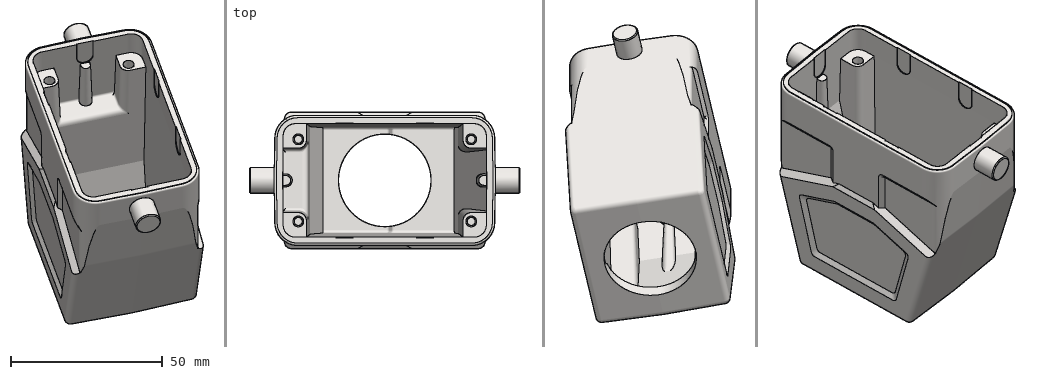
import cadquery as cq
import math

HEIGHT = 72.0
RIM_LENGTH = 73.0
RIM_WIDTH = 42.9
RIM_CORNER = 7.6
RIM_ROUND = 0.6
LIP_HEIGHT = 0.3
LIP_INSET = 0.8
LOWER_WIDTH = 45.0
LOWER_ROUND = 2.0
BASE_ROUND = 2.0
BASE_HALF = 24.0
WAIST_HALF = 34.5
WAIST_Z = 40.0
WAIST_ROUND = 4.45
SLOPE_TOP_Z = 60.8
RIDGE_DRAFT = 1.0
CORE_FLOOR = 34.7

CREST_FLAT_HALF = 9.0
CREST_Z = 42.9
CREST_ANGLE = 20.0
CREST_FLAT_BEVEL = 3.2
CREST_SLOPE_BEVEL = 1.8

RECESS_DEPTH = 1.2
RECESS_BEVEL = 1.8
WINDOW_INNER_X = 11.6
WINDOW_TOP_Z = 57.1
WINDOW_EDGE_ROUND = 2.2
WINDOW_EDGE_Z = 46.3
PANEL_TOP_HALF = 8.3
PANEL_SIDE_HALF = 23.7
PANEL_BASE_HALF = 18.0
PANEL_TOP_Z = 36.85
PANEL_BASE_Z = 7.65
PANEL_CORNER = 3.1

PEG_RADIUS = 4.3
PEG_Z = 65.9
PEG_END = 44.5
PEG_ROOT = 34.7
PEG_CHAMFER = 0.4

MOUTH_LENGTH = 66.9
MOUTH_WIDTH = 37.4
MOUTH_CORNER = 4.0
MOUTH_Z = 62.8
DRAFT = 1.7
SIDE_DRAFT = 1.3
WELL_HALF = 25.8
BAY_HALF = 10.6
POST_ROUND = 2.7
FLOOR_Z = 2.7
FLOOR_STEP = 1.8
STEP_START = 1.25
STEP_END = 2.7
FLOOR_ROUND = 0.9
LEFT_FLOOR_X = -20.3
RIGHT_FLOOR_X = 22.9
LEDGE_Z = 44.5
LEDGE_ROUND = 2.05
LEDGE_FOOT_ROUND = 0.9

SCREW_X = 28.5
SCREW_Y = 13.5
SCREW_RADIUS = 1.8
SCREW_DEPTH = 13.35
SCREW_TAPER = 2.0
PIN_X = 32.6
PIN_TOP_Z = 62.2
PIN_RADIUS = 1.6
SLOT_X = 13.3
SLOT_WIDTH = 5.6
SLOT_DEPTH = 0.3
SLOT_BOTTOM_Z = 62.4
CABLE_RADIUS = 15.2

MARGIN = 8.9
SIDE_LEAN = (WAIST_HALF - BASE_HALF) / WAIST_Z
UPPER_LEAN = (RIM_LENGTH / 2 - WAIST_HALF) / (SLOPE_TOP_Z - WAIST_Z)
DRAFT_LEAN = math.tan(math.radians(DRAFT))
SIDE_DRAFT_LEAN = math.tan(math.radians(SIDE_DRAFT))
RIDGE_LEAN = math.tan(math.radians(RIDGE_DRAFT))
BEVEL_TAPER = math.degrees(math.atan(RECESS_BEVEL / RECESS_DEPTH))
RIGHT_FLOOR_Z = FLOOR_Z + FLOOR_STEP


def both_sides(shape, plane):
    return shape.union(shape.mirror(plane))


def box_around(centre, reach):
    """Selector for whatever has its middle within reach of a point along each axis."""
    lower = tuple(c - d for c, d in zip(centre, reach))
    upper = tuple(c + d for c, d in zip(centre, reach))
    return cq.selectors.BoxSelector(lower, upper)


def mirrored(right_points):
    """Close a right-hand chain of points with its mirror image about x = 0."""
    return right_points + [(-x, z) for x, z in reversed(right_points)]


def silhouette(half_width):
    """Outline of the hood along Y, with ends and base peaked slightly at Y = 0."""
    top = HEIGHT + MARGIN
    outline = mirrored([
        (BASE_HALF, 0),
        (WAIST_HALF, WAIST_Z),
        (WAIST_HALF + UPPER_LEAN * (top - WAIST_Z), top),
    ])
    half = cq.Workplane("XZ").polyline(outline).close().extrude(half_width, taper=RIDGE_DRAFT)
    waist = box_around((0, 0, WAIST_Z), (RIM_LENGTH, RIM_LENGTH, 0.9))
    half = half.edges(waist).fillet(WAIST_ROUND)
    base_ends = box_around((0, -half_width / 2, 0), (RIM_LENGTH, 0.9, 0.9))
    half = half.edges(base_ends).fillet(BASE_ROUND)
    return both_sides(half, "XZ")


def crest_outline(y, flat_rise, slope_rise):
    """Closed outline under the gable crest, at the given distance outward in -Y."""
    lean = math.radians(CREST_ANGLE)
    flat_z = CREST_Z + flat_rise
    slope_z = CREST_Z + CREST_FLAT_HALF * math.tan(lean) + slope_rise / math.cos(lean)
    corner_x = (slope_z - flat_z) / math.tan(lean)
    end_x = RIM_LENGTH / 2 + MARGIN
    points = mirrored([
        (end_x, -MARGIN),
        (end_x, slope_z - end_x * math.tan(lean)),
        (corner_x, flat_z),
    ])
    return cq.Wire.makePolygon([cq.Vector(x, -y, z) for x, z in points], close=True)


def lower_shell():
    """Lower body with rounded edges, cut off above by the bevelled crest."""
    outer_y = LOWER_WIDTH / 2
    inner_y = RIM_WIDTH / 2 - RECESS_DEPTH
    body = silhouette(outer_y)
    body = body.faces("<Y or >Y").edges("not >Z").fillet(LOWER_ROUND)
    crest_foot = crest_outline(inner_y, CREST_FLAT_BEVEL, CREST_SLOPE_BEVEL)
    front = cq.Solid.makeLoft([crest_foot, crest_outline(outer_y, 0, 0)], True)
    middle = cq.Solid.extrudeLinear(crest_foot, [], cq.Vector(0, inner_y, 0))
    clip = cq.Workplane(front).union(cq.Workplane(middle))
    return body.intersect(both_sides(clip, "XZ"))


def window(side):
    """Bevelled recess beside the middle of the upper shell, on both long faces."""
    outer_x = RIM_LENGTH / 2 + MARGIN
    base_z = CORE_FLOOR - MARGIN
    outline = [
        (side * WINDOW_INNER_X, base_z),
        (side * outer_x, base_z),
        (side * outer_x, WINDOW_TOP_Z),
        (side * WINDOW_INNER_X, WINDOW_TOP_Z),
    ]
    plane = cq.Workplane("XZ", origin=(0, RECESS_DEPTH - RIM_WIDTH / 2, 0))
    cutter = plane.polyline(outline).close().extrude(RECESS_DEPTH, taper=-BEVEL_TAPER)
    return both_sides(cutter, "XZ")


def rim_prism(inset, base_z, top_z):
    """Upright rounded block with the rim's plan, its ends peaked slightly at Y = 0."""
    half_length = RIM_LENGTH / 2 - inset
    half_width = RIM_WIDTH / 2 - inset
    corner_x = half_length - half_width * RIDGE_LEAN
    plan = mirrored([(corner_x, -half_width), (half_length, 0), (corner_x, half_width)])
    block = cq.Workplane("XY", origin=(0, 0, base_z)).polyline(plan).close()
    block = block.extrude(top_z - base_z)
    return block.edges("|Z").edges("<Y or >Y").fillet(RIM_CORNER - inset)


def upper_shell():
    """Upper body with its lip, the four windows and the leaning ends."""
    shoulder_z = HEIGHT - LIP_HEIGHT
    core = rim_prism(0, CORE_FLOOR, shoulder_z)
    core = core.faces(">Z").edges().fillet(RIM_ROUND)
    core = core.union(rim_prism(LIP_INSET, shoulder_z - RIM_ROUND, HEIGHT))
    edge_x = RIM_LENGTH / 2 - RIM_CORNER / 2
    edge_y = RIM_WIDTH / 2 - RECESS_DEPTH
    for side in (-1, 1):
        core = core.cut(window(side))
        for face in (-1, 1):
            outer_edge = box_around((side * edge_x, face * edge_y, WINDOW_EDGE_Z), (0.9, 0.2, 4.45))
            core = core.edges(outer_edge).fillet(WINDOW_EDGE_ROUND)
    return core.intersect(silhouette(LOWER_WIDTH / 2))


def panel_recess():
    """Five-sided bevelled recess in both long faces of the lower shell."""
    lean = math.tan(math.radians(CREST_ANGLE))
    outline = mirrored([
        (PANEL_BASE_HALF, PANEL_BASE_Z),
        (PANEL_SIDE_HALF, PANEL_TOP_Z - (PANEL_SIDE_HALF - PANEL_TOP_HALF) * lean),
        (PANEL_TOP_HALF, PANEL_TOP_Z),
    ])
    plane = cq.Workplane("XZ", origin=(0, -LOWER_WIDTH / 2, 0))
    cutter = plane.polyline(outline).close().extrude(-RECESS_DEPTH, taper=BEVEL_TAPER)
    cutter = cutter.edges("not(<Y or >Y)").fillet(PANEL_CORNER)
    return both_sides(cutter, "XZ")


def pegs():
    peg = cq.Workplane("YZ", origin=(PEG_ROOT, 0, PEG_Z)).circle(PEG_RADIUS)
    peg = peg.extrude(PEG_END - PEG_ROOT).faces(">X").chamfer(PEG_CHAMFER)
    return both_sides(peg, "YZ")


def well():
    """Central chamber between the posts, with a stepped floor and sloping end walls."""
    end_foot = WELL_HALF - MOUTH_Z * DRAFT_LEAN
    side_foot = MOUTH_WIDTH / 2 - MOUTH_Z * SIDE_DRAFT_LEAN
    lengthwise = mirrored([(end_foot, 0), (WELL_HALF, MOUTH_Z)])
    crosswise = mirrored([(side_foot, 0), (MOUTH_WIDTH / 2, MOUTH_Z)])
    block = cq.Workplane("XZ").polyline(lengthwise).close().extrude(MOUTH_WIDTH, both=True)
    block = block.intersect(
        cq.Workplane("YZ").polyline(crosswise).close().extrude(MOUTH_LENGTH, both=True))
    top = MOUTH_Z + MARGIN
    clip = cq.Workplane("XZ", origin=(0, MOUTH_WIDTH, 0)).polyline([
        (LEFT_FLOOR_X, FLOOR_Z),
        (STEP_START, FLOOR_Z),
        (STEP_END, RIGHT_FLOOR_Z),
        (RIGHT_FLOOR_X, RIGHT_FLOOR_Z),
        (RIGHT_FLOOR_X + SIDE_LEAN * (top - RIGHT_FLOOR_Z), top),
        (LEFT_FLOOR_X - SIDE_LEAN * (top - FLOOR_Z), top),
    ]).close().extrude(2 * MOUTH_WIDTH)
    return block.intersect(clip)


def bay(side, floor):
    """Narrower chamber between a pair of posts, its side walls drafted."""
    foot = BAY_HALF - (MOUTH_Z - floor) * DRAFT_LEAN
    section = [(-foot, floor), (foot, floor), (BAY_HALF, MOUTH_Z), (-BAY_HALF, MOUTH_Z)]
    return cq.Workplane("YZ").polyline(section).close().extrude(side * MOUTH_LENGTH / 2)


def right_wall_clip():
    """Space on the inner side of the sloping +X end wall."""
    top = MOUTH_Z + MARGIN
    return cq.Workplane("XZ", origin=(0, MOUTH_WIDTH, 0)).polyline([
        (0, RIGHT_FLOOR_Z),
        (RIGHT_FLOOR_X, RIGHT_FLOOR_Z),
        (RIGHT_FLOOR_X + SIDE_LEAN * (top - RIGHT_FLOOR_Z), top),
        (0, top),
    ]).close().extrude(2 * MOUTH_WIDTH)


def pin(side):
    """Half-round guide pin on the end wall, widening downward."""
    plane = cq.Workplane("XY", origin=(0, 0, PIN_TOP_Z))
    back = side * (PIN_X + MARGIN)
    outline = plane.moveTo(back, -PIN_RADIUS).lineTo(side * PIN_X, -PIN_RADIUS)
    outline = outline.threePointArc((side * (PIN_X - PIN_RADIUS), 0), (side * PIN_X, PIN_RADIUS))
    return outline.lineTo(back, PIN_RADIUS).close().extrude(-PIN_TOP_Z, taper=-DRAFT)


def chamber():
    """Everything below the mouth: the well and both bays, blended around posts and ledge."""
    space = well().union(bay(-1, LEDGE_Z))
    space = space.union(bay(1, RIGHT_FLOOR_Z).intersect(right_wall_clip()))
    nose_z = (MOUTH_Z + LEDGE_Z) / 2
    for side in (-1, 1):
        for wall in (-1, 1):
            nose = box_around((side * WELL_HALF, wall * BAY_HALF, nose_z), (1.8, 1.8, MOUTH_Z / 3))
            space = space.edges(nose).edges("not #Z").fillet(POST_ROUND)
    ledge_front = box_around((-WELL_HALF, 0, LEDGE_Z), (0.9, 0.9, 0.9))
    space = space.edges(ledge_front).fillet(LEDGE_ROUND)
    ledge = cq.selectors.BoxSelector(
        (-MOUTH_LENGTH / 2, -BAY_HALF, LEDGE_Z - 0.1), (-WELL_HALF, BAY_HALF, LEDGE_Z + 0.1))
    space = space.faces(ledge).edges("<X or <Y or >Y").fillet(LEDGE_FOOT_ROUND)
    step = box_around((STEP_START, 0, FLOOR_Z), (MARGIN, 0.9, MARGIN))
    space = space.edges(step).edges("|Y").fillet(FLOOR_ROUND)
    floor_rim = cq.selectors.BoxSelector((-20.9, -17.8, 2.2), (23.6, 17.8, 4.9))
    return space.edges(floor_rim).edges("not(|Y) or <X or >X").fillet(FLOOR_ROUND)


def mouth():
    block = cq.Workplane("XY", origin=(0, 0, MOUTH_Z)).rect(MOUTH_LENGTH, MOUTH_WIDTH)
    return block.extrude(HEIGHT - MOUTH_Z).edges("|Z").fillet(MOUTH_CORNER)


def slot(plane, offset):
    """Shallow round-ended groove running down from the rim, on both opposite walls."""
    reach = SLOT_DEPTH + (MOUTH_WIDTH if plane == "XZ" else MOUTH_LENGTH) / 2
    centre_z = SLOT_BOTTOM_Z + SLOT_WIDTH / 2
    groove = cq.Workplane(plane).center(offset, centre_z).circle(SLOT_WIDTH / 2)
    groove = groove.extrude(reach, both=True)
    run = cq.Workplane(plane).center(offset, (centre_z + HEIGHT) / 2)
    return groove.union(run.rect(SLOT_WIDTH, HEIGHT - centre_z).extrude(reach, both=True))


def screw_holes():
    spots = [(x, y) for x in (-SCREW_X, SCREW_X) for y in (-SCREW_Y, SCREW_Y)]
    holes = cq.Workplane("XY", origin=(0, 0, MOUTH_Z)).pushPoints(spots)
    return holes.circle(SCREW_RADIUS).extrude(-SCREW_DEPTH, taper=SCREW_TAPER)


def cable_hole():
    return cq.Workplane("XY").circle(CABLE_RADIUS).extrude(MOUTH_Z)


def cavity():
    space = chamber()
    for side in (-1, 1):
        space = space.cut(pin(side))
    space = space.union(mouth()).union(screw_holes()).union(cable_hole())
    for offset in (-SLOT_X, SLOT_X):
        space = space.union(slot("XZ", offset))
    return space.union(slot("YZ", 0))


result = lower_shell().union(upper_shell()).cut(panel_recess()).union(pegs())
result = result.cut(cavity())